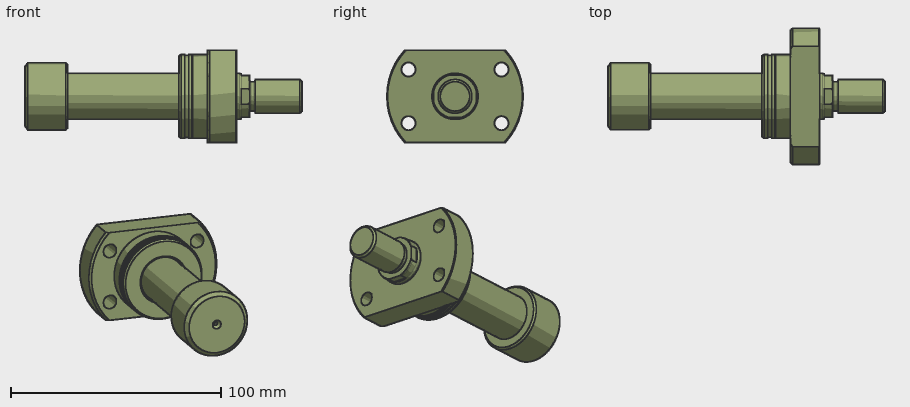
import cadquery as cq
import math


HEAD_DIAMETER = 32.1
HEAD_LENGTH = 20.3
HEAD_FRONT_CHAMFER_DEPTH = 2.0
HEAD_FRONT_CHAMFER_LENGTH = 1.5
HEAD_BACK_CHAMFER = 0.9
ROD_DIAMETER = 22.0
LEAD_IN_LENGTH = 1.0
CENTRE_HOLE_DIAMETER = 2.0
CENTRE_CONE_DIAMETER = 4.2
CENTRE_CONE_ANGLE = 60
CENTRE_DRILL_LENGTH = 2.6
DRILL_TIP_ANGLE = 120

WRENCH_START = 103.1
WRENCH_END = 107.0
WRENCH_DIAMETER = 21.4
WRENCH_ACROSS_FLATS = 20.0
WRENCH_CHAMFER_LENGTH = 0.8
WRENCH_CHAMFER_DEPTH = 0.2

BOSS_START = 73.3
BOSS_DIAMETER = 40.0
BOSS_CHAMFER_LENGTH = 1.2
BOSS_CHAMFER_DEPTH = 0.8
SEAL_GROOVE_START = 76.0
SEAL_GROOVE_WIDTH = 2.0
SEAL_GROOVE_DEPTH = 0.4
RELIEF_GROOVE_START = 79.5
RELIEF_GROOVE_WIDTH = 0.4
RELIEF_GROOVE_DEPTH = 0.3
PLATE_START = 86.9
PLATE_END = 100.8
PLATE_DIAMETER = 65.0
PLATE_HEIGHT = 44.0
PLATE_FRONT_CHAMFER = 1.0
PLATE_BACK_CHAMFER = 0.4
BORE_CHAMFER = 0.8
BOLT_CIRCLE_DIAMETER = 51.1
BOLT_HOLE_DIAMETER = 6.6
BOLT_ANGLE = 30

STUD_END = 132
STUD_DIAMETER = 16.1
STUD_CHAMFER = 1.0
NECK_DIAMETER = 14.0
NECK_LENGTH = 2.5
NECK_FILLET = 0.5


def cylinder_along_x(start, end, diameter):
    """Solid cylinder on the X axis between two stations."""
    return cq.Workplane("YZ").workplane(offset=start).circle(diameter / 2).extrude(end - start)


def revolve_about_x(points):
    """Solid of revolution from (x, radius) points, closed along the X axis."""
    return cq.Workplane("XY").polyline(points).close().revolve(360, (0, 0), (1, 0))


def ring_groove(start, width, depth):
    """Ring of material to take out of the boss for a groove."""
    outer = cylinder_along_x(start, start + width, BOSS_DIAMETER)
    return outer.cut(cylinder_along_x(start, start + width, BOSS_DIAMETER - 2 * depth))


def centre_hole():
    """Centre drilling in the head: countersink cone, short cylinder and drill tip."""
    cone_radius = CENTRE_CONE_DIAMETER / 2
    radius = CENTRE_HOLE_DIAMETER / 2
    cone_end = (cone_radius - radius) / math.tan(math.radians(CENTRE_CONE_ANGLE / 2))
    drill_end = cone_end + CENTRE_DRILL_LENGTH
    tip = drill_end + radius / math.tan(math.radians(DRILL_TIP_ANGLE / 2))
    return revolve_about_x([(0, 0), (0, cone_radius), (cone_end, radius), (drill_end, radius), (tip, 0)])


def wrench_flats():
    """Square bar whose four sides are the wrench flats."""
    bar = cq.Workplane("YZ").workplane(offset=WRENCH_START)
    return bar.rect(WRENCH_ACROSS_FLATS, WRENCH_ACROSS_FLATS).extrude(WRENCH_END - WRENCH_START)


def make_rod():
    """Rod with its head at one end and the wrench section at the other."""
    head_radius = HEAD_DIAMETER / 2
    rod_radius = ROD_DIAMETER / 2
    wrench_radius = WRENCH_DIAMETER / 2
    body = revolve_about_x([
        (0, 0),
        (0, head_radius - HEAD_FRONT_CHAMFER_DEPTH),
        (HEAD_FRONT_CHAMFER_LENGTH, head_radius),
        (HEAD_LENGTH - HEAD_BACK_CHAMFER, head_radius),
        (HEAD_LENGTH, head_radius - HEAD_BACK_CHAMFER),
        (HEAD_LENGTH, rod_radius),
        (WRENCH_START - LEAD_IN_LENGTH, rod_radius),
        (WRENCH_START, wrench_radius),
        (WRENCH_START, 0),
    ])
    wrench_section = revolve_about_x([
        (WRENCH_START, 0),
        (WRENCH_START, wrench_radius),
        (WRENCH_END - WRENCH_CHAMFER_LENGTH, wrench_radius),
        (WRENCH_END, wrench_radius - WRENCH_CHAMFER_DEPTH),
        (WRENCH_END, 0),
    ])
    return body.cut(centre_hole()).union(wrench_section.intersect(wrench_flats()))


def bolt_holes():
    """Four through holes, at the bolt angle above and below the Y axis on both sides."""
    bolt_y = BOLT_CIRCLE_DIAMETER / 2 * math.cos(math.radians(BOLT_ANGLE))
    bolt_z = BOLT_CIRCLE_DIAMETER / 2 * math.sin(math.radians(BOLT_ANGLE))
    centres = [(side * bolt_y, level * bolt_z) for side in (-1, 1) for level in (-1, 1)]
    holes = cq.Workplane("YZ").workplane(offset=PLATE_START).pushPoints(centres)
    return holes.circle(BOLT_HOLE_DIAMETER / 2).extrude(PLATE_END - PLATE_START)


def make_flange():
    """Round plate with two flat sides and a grooved boss, bored for the rod."""
    boss_radius = BOSS_DIAMETER / 2
    plate_radius = PLATE_DIAMETER / 2
    bore_radius = ROD_DIAMETER / 2
    body = revolve_about_x([
        (BOSS_START, bore_radius + BORE_CHAMFER),
        (BOSS_START, boss_radius - BOSS_CHAMFER_DEPTH),
        (BOSS_START + BOSS_CHAMFER_LENGTH, boss_radius),
        (PLATE_START, boss_radius),
        (PLATE_START, plate_radius - PLATE_FRONT_CHAMFER),
        (PLATE_START + PLATE_FRONT_CHAMFER, plate_radius),
        (PLATE_END - PLATE_BACK_CHAMFER, plate_radius),
        (PLATE_END, plate_radius - PLATE_BACK_CHAMFER),
        (PLATE_END, bore_radius),
        (BOSS_START + BORE_CHAMFER, bore_radius),
    ])
    flat_sides = (
        cq.Workplane("YZ").workplane(offset=BOSS_START)
        .rect(PLATE_DIAMETER, PLATE_HEIGHT).extrude(PLATE_END - BOSS_START)
    )
    body = body.intersect(flat_sides)
    body = body.cut(ring_groove(SEAL_GROOVE_START, SEAL_GROOVE_WIDTH, SEAL_GROOVE_DEPTH))
    body = body.cut(ring_groove(RELIEF_GROOVE_START, RELIEF_GROOVE_WIDTH, RELIEF_GROOVE_DEPTH))
    return body.cut(bolt_holes())


def make_stud():
    """Stud on the end face of the rod, with a filleted relief neck and a chamfered tip."""
    neck_end = WRENCH_END + NECK_LENGTH
    neck_radius = NECK_DIAMETER / 2
    shank = cylinder_along_x(neck_end, STUD_END, STUD_DIAMETER).faces(">X").chamfer(STUD_CHAMFER)
    neck_profile = (
        cq.Workplane("XY")
        .moveTo(WRENCH_END, 0)
        .lineTo(WRENCH_END, neck_radius + NECK_FILLET)
        .radiusArc((WRENCH_END + NECK_FILLET, neck_radius), -NECK_FILLET)
        .lineTo(neck_end - NECK_FILLET, neck_radius)
        .radiusArc((neck_end, neck_radius + NECK_FILLET), -NECK_FILLET)
        .lineTo(neck_end, 0)
        .close()
    )
    return shank.union(neck_profile.revolve(360, (0, 0), (1, 0)))


rod = make_rod()
flange = make_flange()
stud = make_stud()

result = cq.Compound.makeCompound([rod.val(), flange.val(), stud.val()])